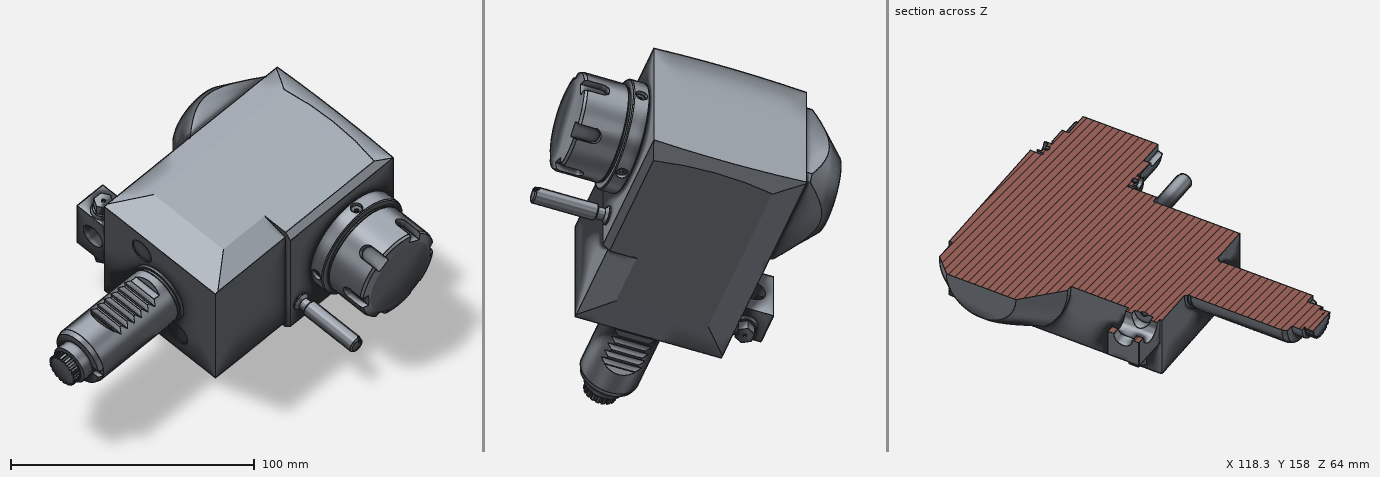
import cadquery as cq
import math


side_size = 64.0
half_width = side_size / 2
half_height = side_size / 2
length = 101.0
side_taper_run = 11.8
side_edge_z = 28.8
front_taper_run = 16.7
front_edge_z = 28.5
pad_face_x = 34.9
pad_start_y = 41.0
pad_chamfer = 2.8
crown_radius = 135.9
crown_center_x = 5.5
crown_top_y = 95.3
crown_slope = 0.33

spindle_y = 75.0
cover_radius = 31.9
cover_rim_x = -34.9
cover_tip_x = -50.5
cover_tip_radius = 16.5
cover_half_height = 23.0
cover_flat_tilt = 15
cover_back_y = 99.5

ring_start_x = 35.7
ring_end_x = 42.8
ring_radius = 23.5
neck_radius = 20.2
nut_start_x = 43.8
nut_end_x = 64.3
nut_radius = 21.0
nut_rim_x = 62.0
nut_shoulder_x = 63.2
nut_shoulder_radius = 20.5
nut_face_radius = 17.0
slot_count = 6
slot_width = 6.3
slot_depth = 3.2
slot_start_x = 52.5
set_screw_x = 39.3
set_screw_radius = 2.5
set_screw_depth = 1.9
set_screw_socket = 2.0
set_screw_count = 4
edge_break = 0.5

pin_y = 46.6
pin_z = -17.0
pin_radius = 3.5
pin_end_x = 67.8
pin_body_x = 40.5
pin_neck_radius = 2.5
pin_foot_radius = 4.0
pin_foot_end_x = 36.8
pin_foot_taper = 1.3
pin_chamfer = 0.6
pin_spot_radius = 1.9
pin_spot_depth = 1.5
pin_hole_radius = 1.0
pin_hole_depth = 1.6
pin_spot_turn = 30

shank_radius = 12.8
relief_radius = 12.5
relief_end_y = -2.4
shank_end_y = -47.9
shank_end_radius = 12.0
shank_bevel_y = -45.7
collar_radius = 13.7
collar_length = 1.1
pilot_radius = 8.5
pilot_end_y = -52.8
groove_width = 0.5
spline_end_y = -57.0
spline_core_radius = 6.5
spline_radius = 7.1
spline_teeth = 18
spline_tooth_width = 1.3
key_inner_x = 8.4
key_width = 4.1
rack_flat_z = 10.9
rack_root_z = 9.3
rack_start_y = -7.1
rack_entry_run = 1.1
rack_end_land = 0.3
rack_first_root_y = -11.7
rack_grooves = 6
rack_span = 19.9
rack_pitch = rack_span / (rack_grooves - 1)

plug_x = 10.5
plug_z = 18.2
plug_radius = 5.5
plug_recess = 0.6

block_outer_x = -49.1
block_start_y = 1.1
block_end_y = 16.1
block_height = 24.8
block_half_height = block_height / 2
block_chamfer = 0.3
channel_x = -39.8
channel_radius = 5.5
port_y = 8.7
port_diameter = 8.7
port_radius = port_diameter / 2
port_socket = 2.8
port_socket_depth = 0.8
screw_x = -39.7
screw_y = 7.1
screw_flange_radius = 5.4
screw_flange_top_radius = 4.6
screw_flange_height = 1.5
screw_head_flats = 7.1
screw_head_top_z = 18.8
screw_socket_radius = 0.8
screw_socket_depth = 1.0


def box(x0, x1, y0, y1, z0, z1):
    """Axis-aligned box between two corners."""
    return cq.Workplane("XY").box(x1 - x0, y1 - y0, z1 - z0, centered=False).translate((x0, y0, z0))


def turned_x(points, y=0, z=0):
    """Body turned about an axis parallel to X, from (x, radius) points."""
    outline = [(points[0][0], 0)] + points + [(points[-1][0], 0)]
    return cq.Workplane("XY").polyline(outline).close().revolve(360, (0, 0), (1, 0)).translate((0, y, z))


def turned_y(points, x=0, z=0):
    """Body turned about an axis parallel to Y, from (y, radius) points."""
    outline = [(0, points[0][0])] + [(r, y) for y, r in points] + [(0, points[-1][0])]
    return cq.Workplane("XY").polyline(outline).close().revolve(360, (0, 0), (0, 1)).translate((x, 0, z))


def both_z(solid):
    """The solid together with its mirror image below Z = 0."""
    return solid.union(solid.mirror("XY"))


def make_housing():
    """Tapered block with the raised pad, the crowned back and the plug recesses."""
    def section(right_x, run, drop):
        """Half section in X and Z with tapered left corner and the given right corner."""
        return [
            (-half_width, 0),
            (-half_width, side_edge_z),
            (side_taper_run - half_width, half_height),
            (right_x - run, half_height),
            (right_x, half_height - drop),
            (right_x, 0),
        ]

    def extrude_section(points, y0, y1):
        half = cq.Workplane("XZ", origin=(0, y0, 0)).polyline(points).close().extrude(y0 - y1)
        return both_z(half)

    side_drop = half_height - side_edge_z
    front = extrude_section(section(half_width, side_taper_run, side_drop), 0, pad_start_y)
    back = extrude_section(section(pad_face_x, pad_chamfer, pad_chamfer), pad_start_y, length)
    nose = cq.Workplane("YZ", origin=(-half_width, 0, 0)).polyline([
        (0, 0),
        (0, front_edge_z),
        (front_taper_run, half_height),
        (length, half_height),
        (length, 0),
    ]).close().extrude(half_width + pad_face_x)
    crown = cq.Workplane("XZ").polyline([
        (0, 0),
        (crown_radius + half_height / crown_slope, 0),
        (crown_radius, half_height),
        (0, half_height),
    ]).close().revolve(360, (0, 0), (0, 1)).translate((crown_center_x, crown_top_y - crown_radius, 0))
    body = front.union(back).intersect(both_z(nose)).intersect(both_z(crown))
    for side in (-1, 1):
        recess = turned_y([(0, plug_radius), (plug_recess, plug_radius)], side * plug_x, -side * plug_z)
        body = body.cut(recess)
    return body


def make_cover():
    """Conical cover with a flat back and tilted flats above and below."""
    cone = turned_x([
        (cover_tip_x, cover_tip_radius),
        (cover_rim_x, cover_radius),
        (-half_width, cover_radius),
    ], y=spindle_y)
    tip_drop = (cover_rim_x - cover_tip_x) * math.tan(math.radians(cover_flat_tilt))
    envelope = cq.Workplane("XZ", origin=(0, cover_back_y, 0)).polyline([
        (-half_width, 0),
        (-half_width, cover_half_height),
        (cover_rim_x, cover_half_height),
        (cover_tip_x, cover_half_height - tip_drop),
        (cover_tip_x, 0),
    ]).close().extrude(cover_back_y - spindle_y + cover_radius)
    return cone.intersect(both_z(envelope))


def make_spindle():
    """Ring with set screws and slotted clamping nut on the +X side."""
    nose = turned_x([
        (half_width, neck_radius),
        (ring_start_x, neck_radius),
        (ring_start_x, ring_radius - edge_break),
        (ring_start_x + edge_break, ring_radius),
        (ring_end_x - edge_break, ring_radius),
        (ring_end_x, ring_radius - edge_break),
        (ring_end_x, neck_radius),
        (nut_start_x, neck_radius),
        (nut_start_x, nut_radius - edge_break),
        (nut_start_x + edge_break, nut_radius),
        (nut_rim_x, nut_radius),
        (nut_shoulder_x, nut_shoulder_radius),
        (nut_end_x, nut_face_radius),
    ])
    slot = (
        cq.Workplane("XZ", origin=(0, slot_depth - nut_radius, 0))
        .center(slot_start_x + slot_width / 2, 0).circle(slot_width / 2).extrude(2 * slot_depth)
        .union(box(slot_start_x + slot_width / 2, nut_end_x, -nut_radius - slot_depth,
                   slot_depth - nut_radius, -slot_width / 2, slot_width / 2))
    )
    for i in range(slot_count):
        nose = nose.cut(slot.rotate((0, 0, 0), (1, 0, 0), i * 360 / slot_count))
    floor = set_screw_depth - ring_radius
    screw_hole = (
        cq.Workplane("XZ", origin=(set_screw_x, floor, 0)).circle(set_screw_radius).extrude(2 * set_screw_depth)
        .union(cq.Workplane("XZ", origin=(set_screw_x, floor, 0)).polygon(6, set_screw_socket)
               .extrude(-set_screw_depth))
    )
    for i in range(set_screw_count):
        nose = nose.cut(screw_hole.rotate((0, 0, 0), (1, 0, 0), i * 360 / set_screw_count))
    return nose.translate((0, spindle_y, 0))


def make_pin():
    """Necked pin with an angled nozzle at its free end."""
    pin = turned_x([
        (half_width, pin_foot_radius),
        (pin_foot_end_x - pin_foot_taper, pin_foot_radius),
        (pin_foot_end_x, pin_neck_radius),
        (pin_body_x - pin_chamfer, pin_neck_radius),
        (pin_body_x, pin_radius),
        (pin_end_x - pin_chamfer, pin_radius),
        (pin_end_x, pin_radius - pin_chamfer),
    ], pin_y, pin_z)
    edge = cq.Plane(origin=(pin_end_x, pin_y + pin_radius, pin_z), xDir=(0, 0, 1), normal=(1, 1, 0))
    spot = cq.Workplane(edge).workplane(offset=-pin_spot_depth).circle(pin_spot_radius).extrude(pin_spot_depth)
    nozzle = (
        cq.Workplane(edge).workplane(offset=-pin_spot_depth)
        .circle(pin_hole_radius).extrude(-pin_hole_depth)
    )
    axis_start = (0, pin_y, pin_z)
    axis_end = (1, pin_y, pin_z)
    return pin.cut(spot.union(nozzle).rotate(axis_start, axis_end, pin_spot_turn))


def make_shank():
    """Toothed shank with end key slot, pilot and drive spline."""
    shank = turned_y([
        (0, collar_radius),
        (-collar_length, collar_radius - edge_break),
        (-collar_length, relief_radius),
        (relief_end_y, relief_radius),
        (relief_end_y, shank_radius),
        (shank_bevel_y, shank_radius),
        (shank_end_y, shank_end_radius),
        (shank_end_y, pilot_radius),
        (pilot_end_y, pilot_radius),
        (pilot_end_y, spline_core_radius),
        (spline_end_y, spline_core_radius),
    ])
    tooth = box(0, spline_radius, spline_end_y, pilot_end_y - groove_width,
                -spline_tooth_width / 2, spline_tooth_width / 2)
    for i in range(spline_teeth):
        shank = shank.union(tooth.rotate((0, 0, 0), (0, 1, 0), i * 360 / spline_teeth))
    shank = shank.cut(box(key_inner_x, collar_radius, shank_end_y, shank_bevel_y,
                          -key_width / 2, key_width / 2))
    return shank.cut(both_z(make_rack_cut()))


def make_rack_cut():
    """Space removed above the rack teeth: flat land with 90 degree grooves."""
    groove_depth = rack_flat_z - rack_root_z
    outline = [(rack_start_y + rack_entry_run, shank_radius), (rack_start_y, rack_flat_z)]
    for i in range(rack_grooves):
        root_y = rack_first_root_y - i * rack_pitch
        outline.append((root_y + groove_depth, rack_flat_z))
        outline.append((root_y, rack_root_z))
        outline.append((root_y - groove_depth, rack_flat_z))
    land_end_y = outline[-1][0] - rack_end_land
    outline.append((land_end_y, rack_flat_z))
    outline.append((land_end_y - shank_radius + rack_flat_z, shank_radius))
    return cq.Workplane("YZ").polyline(outline).close().extrude(shank_radius, both=True)


def make_coolant_block():
    """Block on the -X wall with a through channel, a cross port and two screws."""
    block = (
        box(block_outer_x, -half_width, block_start_y, block_end_y, -block_half_height, block_half_height)
        .faces("<X").edges().chamfer(block_chamfer)
    )
    block = block.cut(turned_y([
        (block_start_y, channel_radius),
        (block_end_y, channel_radius),
    ], channel_x))
    block = block.cut(turned_x([
        (block_outer_x, port_radius),
        (-half_width, port_radius),
    ], port_y))
    return block.union(both_z(make_block_screw()))


def make_port_socket():
    """Hex recess in the housing wall at the bottom of the cross port."""
    return (
        cq.Workplane("YZ", origin=(-half_width, port_y, 0))
        .transformed(rotate=(0, 0, 90)).polygon(6, port_socket).extrude(port_socket_depth)
    )


def make_block_screw():
    """Flanged hex screw head on top of the coolant block."""
    head_base_z = block_half_height + screw_flange_height
    flange = (
        cq.Workplane("XY", origin=(screw_x, screw_y, block_half_height)).circle(screw_flange_radius)
        .workplane(offset=screw_flange_height).circle(screw_flange_top_radius).loft()
    )
    head = (
        cq.Workplane("XY", origin=(screw_x, screw_y, head_base_z))
        .polygon(6, screw_head_flats, circumscribed=True).extrude(screw_head_top_z - head_base_z)
        .faces(">Z").workplane().hole(2 * screw_socket_radius, screw_socket_depth)
    )
    return flange.union(head)


result = (
    make_housing()
    .union(make_cover())
    .union(make_spindle())
    .union(make_pin())
    .union(make_shank())
    .union(make_coolant_block())
    .cut(make_port_socket())
)